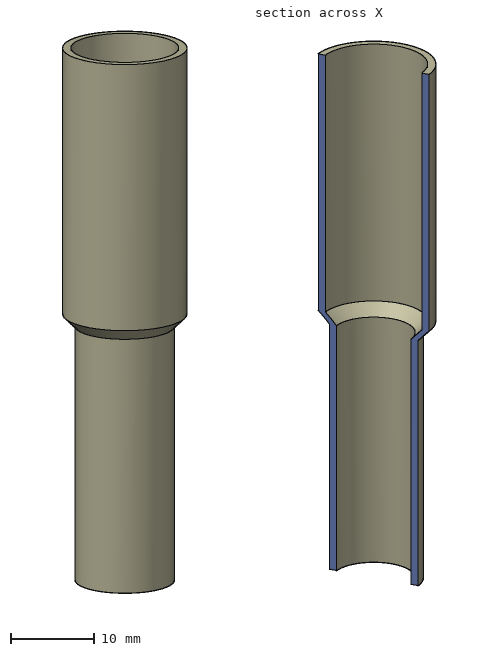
import cadquery as cq

lower_outer_diameter = 12.0
lower_bore_diameter = 10.0
upper_outer_diameter = 15.0
upper_bore_diameter = 13.0
total_height = 66.5

lower_outer_radius = lower_outer_diameter / 2
lower_bore_radius = lower_bore_diameter / 2
upper_outer_radius = upper_outer_diameter / 2
upper_bore_radius = upper_bore_diameter / 2

transition_height = upper_outer_radius - lower_outer_radius
upper_start = total_height / 2
lower_height = upper_start - transition_height


def make_stepped_tube():
    """Revolve the wall section: lower tube, conical transition, upper socket."""
    wall_section = [
        (lower_bore_radius, 0),
        (lower_outer_radius, 0),
        (lower_outer_radius, lower_height),
        (upper_outer_radius, upper_start),
        (upper_outer_radius, total_height),
        (upper_bore_radius, total_height),
        (upper_bore_radius, upper_start),
        (lower_bore_radius, lower_height),
    ]
    return (
        cq.Workplane("XZ")
        .polyline(wall_section)
        .close()
        .revolve(360, (0, 0), (0, 1))
    )


result = make_stepped_tube()